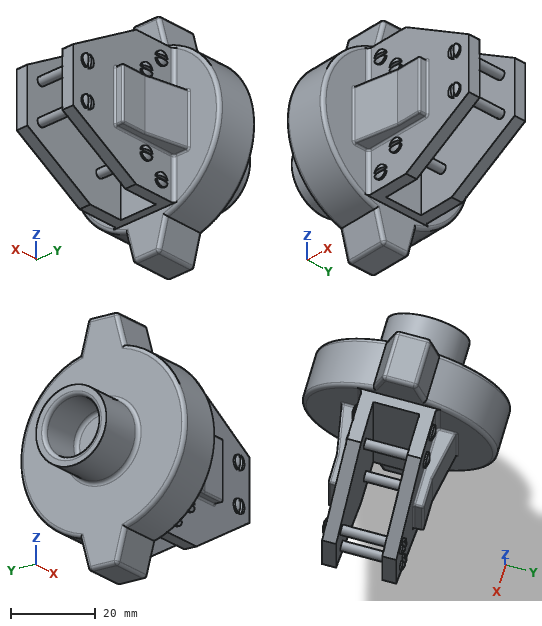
import cadquery as cq
import math


disk_thickness = 12.7
disk_diameter = 47.75
lug_span = 63.5
lug_tip_width = 8.3
lug_draft = 15.0
edge_radius = 1.0

hub_length = 12.7
hub_diameter = 20.32
bore_diameter = 15.24
bore_depth = hub_length

bracket_length = 34.7
bracket_width = 18.2
bracket_height = 41.5
bracket_tip_height = 16.4
bracket_taper = 30.0
plate_thickness = 3.45
bridge_thickness = 2.4

pad_length = 20.3
pad_knee = 12.7
pad_root_height = 4.95
pad_height = 2.6
pad_width = 15.9
pad_radius = 0.5

pin_diameter = 2.54
head_diameter = 3.85
head_rim = 0.5
head_height = 1.05
slot_width = 0.95
root_screw = (4.45, 16.3)
inner_screw = (9.65, 11.2)
tip_screw = (29.95, 5.5)

disk_face = -disk_thickness
hub_face = disk_face - hub_length
plate_face = bracket_width / 2
root_overlap = 0.2
tolerance = 0.01


def make_disk():
    """Disk and two opposite tapered lugs, rounded on all outer edges."""
    tip_z = lug_span / 2
    half_tip = lug_tip_width / 2
    half_root = half_tip + tip_z * math.tan(math.radians(lug_draft))
    lug_outline = [(-half_root, 0), (-half_tip, tip_z), (half_tip, tip_z), (half_root, 0)]
    disk = cq.Workplane("YZ").circle(disk_diameter / 2).extrude(disk_face)
    lug = cq.Workplane("YZ").polyline(lug_outline).close().extrude(disk_face)
    lug = lug.edges("|X and >Z").fillet(edge_radius)
    disk = disk.union(lug).union(lug.mirror("XY"))
    return disk.faces("<X or >X").edges().fillet(edge_radius)


def add_hub(disk):
    """Hub tube with a filleted root and a bore rounded at its mouth and floor."""
    hub = cq.Workplane("YZ", (disk_face, 0, 0)).circle(hub_diameter / 2).extrude(-hub_length)
    hub_root = cq.selectors.BoxSelector(
        (disk_face - tolerance, -tolerance, -tolerance),
        (disk_face + tolerance, tolerance, tolerance),
    )
    body = disk.union(hub).edges(hub_root).fillet(edge_radius)
    bore = cq.Workplane("YZ", (hub_face, 0, 0)).circle(bore_diameter / 2).extrude(bore_depth)
    bore = bore.faces(">X").edges().fillet(edge_radius)
    return body.cut(bore).faces("<X").edges(cq.selectors.RadiusNthSelector(0)).fillet(edge_radius)


def make_bracket():
    """U-shaped bracket whose plates taper toward the tip."""
    tip_z = bracket_tip_height / 2
    root_z = bracket_height / 2
    taper_start = bracket_length - (root_z - tip_z) / math.tan(math.radians(bracket_taper))
    outline = [
        (0, -root_z),
        (taper_start, -root_z),
        (bracket_length, -tip_z),
        (bracket_length, tip_z),
        (taper_start, root_z),
        (0, root_z),
    ]
    channel_width = bracket_width - 2 * plate_thickness
    block = cq.Workplane("XZ").polyline(outline).close().extrude(plate_face, both=True)
    channel = cq.Workplane("XY", (bridge_thickness, 0, 0)).box(
        bracket_length, channel_width, bracket_height, centered=(False, True, True)
    )
    return block.cut(channel)


def make_pad():
    """Sloped pad on the -Y plate, rounded on its outer and end edges."""
    profile = [
        (0, -plate_face),
        (0, -plate_face - pad_root_height),
        (pad_knee, -plate_face - pad_height),
        (pad_length, -plate_face - pad_height),
        (pad_length, -plate_face),
    ]
    pad = cq.Workplane("XY").polyline(profile).close().extrude(pad_width / 2, both=True)
    pad = pad.edges("|Y and >X").fillet(pad_radius)
    outer_edges = cq.selectors.BoxSelector(
        (-tolerance, -plate_face - pad_root_height, -pad_width),
        (pad_length + tolerance, -plate_face - pad_height + tolerance, pad_width),
    )
    return pad.edges(outer_edges).edges("(not |Z) or >X").fillet(pad_radius)


def make_root_fillet():
    """Concave fillet strip between the -Y plate and the disk, sunk slightly into the disk."""
    mid_offset = edge_radius * (1 - math.sqrt(0.5))
    strip = (
        cq.Workplane("XY")
        .moveTo(-root_overlap, -plate_face)
        .lineTo(edge_radius, -plate_face)
        .threePointArc(
            (mid_offset, -plate_face - mid_offset),
            (0, -plate_face - edge_radius),
        )
        .lineTo(-root_overlap, -plate_face - edge_radius)
        .close()
    )
    return strip.extrude(bracket_height / 2, both=True)


def edges_inside(x_range, y_range, side):
    """Selector for edges lying wholly in a box across the pad, with Y measured outward on one side."""
    x_min, x_max = x_range
    y_min, y_max = y_range
    half_z = pad_width / 2 + tolerance
    return cq.selectors.BoxSelector(
        (x_min - tolerance, side * (y_min - tolerance), -half_z),
        (x_max + tolerance, side * (y_max + tolerance), half_z),
        boundingbox=True,
    )


def pad_base_edges(side):
    """Selector for the edges where a pad meets its plate, the root fillet and the disk."""
    pad_root = plate_face + pad_root_height
    fillet_end = plate_face + edge_radius
    on_plate = edges_inside((0, pad_length), (plate_face, plate_face), side)
    on_disk = edges_inside((0, 0), (plate_face, pad_root), side)
    on_root_fillet = edges_inside((0, edge_radius), (plate_face, fillet_end), side)
    return on_plate + on_disk + on_root_fillet


def add_bracket(body):
    """Join the bracket, its root fillets and its pads to the disk."""
    root_fillet = make_root_fillet()
    pad = make_pad()
    body = body.union(make_bracket())
    for piece in (root_fillet, pad):
        body = body.union(piece).union(piece.mirror("XZ"))
    for side in (-1, 1):
        body = body.edges(pad_base_edges(side)).fillet(pad_radius)
    return body


def make_screw_head(position, slot_along_x):
    """Domed head standing on the -Y plate, split by a full-depth slot."""
    x, z = position
    radius = head_diameter / 2
    dome_height = head_height - head_rim
    dome_radius = (radius**2 + dome_height**2) / (2 * dome_height)
    dome_center_y = -plate_face - head_height + dome_radius
    head = cq.Workplane("XZ", (x, -plate_face, z)).circle(radius).extrude(head_height)
    head = head.intersect(cq.Workplane("XY", (x, dome_center_y, z)).sphere(dome_radius))
    slot_size = (head_diameter, slot_width) if slot_along_x else (slot_width, head_diameter)
    slot = cq.Workplane("XZ", (x, -plate_face, z)).rect(*slot_size).extrude(head_height)
    return head.cut(slot)


def add_fasteners(body):
    """Cross pins between the plates and screw heads on both outer faces."""
    for side in (-1, 1):
        for x, z in (inner_screw, tip_screw):
            pin = cq.Workplane("XZ", (x, plate_face, side * z)).circle(pin_diameter / 2)
            body = body.union(pin.extrude(bracket_width))
        for (x, z), slot_along_x in ((root_screw, True), (inner_screw, True), (tip_screw, False)):
            head = make_screw_head((x, side * z), slot_along_x)
            body = body.union(head).union(head.mirror("XZ"))
    return body


result = add_fasteners(add_bracket(add_hub(make_disk())))